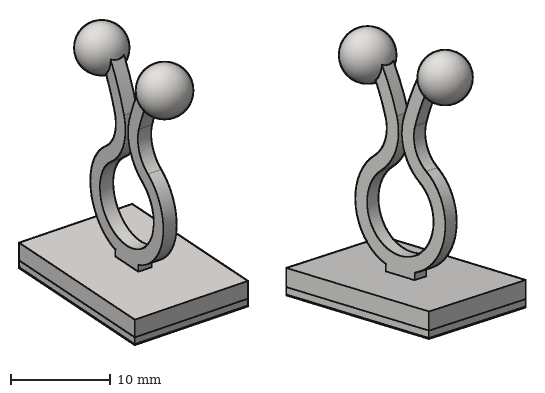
import cadquery as cq
import math

BASE_LENGTH = 20.0
BASE_WIDTH = 14.0
LINER_THICKNESS = 0.1
TAPE_THICKNESS = 0.78
PLATE_THICKNESS = 2.03
plate_bottom = LINER_THICKNESS + TAPE_THICKNESS
plate_top = plate_bottom + PLATE_THICKNESS

STRIP_THICKNESS = 1.67
STRIP_WIDTH = 1.67
LOOP_OUTER_RADIUS = 6.3
LOOP_CENTER_Z = 9.67
NECK_GAP = 0.47
NECK_Z = 18.13
FLARE_RADIUS = 25.02
FLARE_START_ANGLE = 17.0
FLARE_END_ANGLE = 31.0
FOOT_LENGTH = 4.0
half_thickness = STRIP_THICKNESS / 2
loop_radius = LOOP_OUTER_RADIUS - half_thickness
neck_x = (NECK_GAP + STRIP_THICKNESS) / 2
neck_rise = NECK_Z - LOOP_CENTER_Z

neck_radius = (neck_x**2 + neck_rise**2 - loop_radius**2) / (2 * (loop_radius - neck_x))

TOTAL_HEIGHT = 27.8
LEFT_BALL_RADIUS = 2.8
LEFT_BALL_X = -5.48
RIGHT_BALL_RADIUS = 2.92
RIGHT_BALL_X = 5.37

loop_center = (0, LOOP_CENTER_Z)
neck_center = (neck_x + neck_radius, NECK_Z)
flare_offset = FLARE_RADIUS - neck_radius
flare_center = (
    neck_center[0] + flare_offset * math.cos(math.radians(FLARE_START_ANGLE)),
    neck_center[1] - flare_offset * math.sin(math.radians(FLARE_START_ANGLE)),
)
join_angle = math.degrees(math.atan2(neck_rise, neck_center[0]))


def polar(center, radius, angle):
    """Point at an angle in degrees from +X around a center."""
    a = math.radians(angle)
    return (center[0] + radius * math.cos(a), center[1] + radius * math.sin(a))


def edge_points(offset):
    """Points of one strip edge from the left tip to the right tip.

    Consecutive arcs share an end point, and every second point lies mid-arc.
    A positive offset is the edge away from the loop center.
    """
    neck_start = 180 + join_angle
    flare_start = 180 - FLARE_START_ANGLE
    flare_end = 180 - FLARE_END_ANGLE
    loop_edge = loop_radius + offset
    neck_edge = neck_radius - offset
    flare_edge = FLARE_RADIUS - offset
    right_points = [
        polar(loop_center, loop_edge, join_angle),
        polar(neck_center, neck_edge, (neck_start + flare_start) / 2),
        polar(neck_center, neck_edge, flare_start),
        polar(flare_center, flare_edge, (flare_start + flare_end) / 2),
        polar(flare_center, flare_edge, flare_end),
    ]
    left_points = [(-x, z) for x, z in reversed(right_points)]
    loop_bottom = polar(loop_center, loop_edge, -90)
    return left_points + [loop_bottom] + right_points


def draw_arcs(outline, points):
    """Continue an outline from points[0] with arcs through each following pair."""
    for middle, end in zip(points[1::2], points[2::2]):
        outline = outline.threePointArc(middle, end)
    return outline


def make_strip():
    """Spring strip as one closed outline, extruded symmetrically about Y = 0."""
    outer_edge = edge_points(half_thickness)
    inner_edge = edge_points(-half_thickness)[::-1]
    outline = cq.Workplane("XZ").moveTo(*outer_edge[0])
    outline = draw_arcs(outline, outer_edge)
    outline = outline.lineTo(*inner_edge[0])
    outline = draw_arcs(outline, inner_edge)
    return outline.close().extrude(STRIP_WIDTH / 2, both=True)


def make_foot():
    """Short block joining the loop to the plate, ending inside the strip."""
    foot_height = LOOP_CENTER_Z - loop_radius - plate_top
    return make_layer(FOOT_LENGTH, STRIP_WIDTH, foot_height, plate_top)


def make_ball(x, radius):
    return cq.Workplane("XY").sphere(radius).translate((x, 0, TOTAL_HEIGHT - radius))


def make_layer(length, width, thickness, bottom):
    """Rectangular block centered on the Z axis."""
    return cq.Workplane("XY").workplane(offset=bottom).rect(length, width).extrude(thickness)


def make_clip():
    """Plate, foot, spring strip and balls as one molded body."""
    clip = make_layer(BASE_LENGTH, BASE_WIDTH, PLATE_THICKNESS, plate_bottom)
    clip = clip.union(make_foot())
    clip = clip.union(make_strip())
    clip = clip.union(make_ball(LEFT_BALL_X, LEFT_BALL_RADIUS))
    return clip.union(make_ball(RIGHT_BALL_X, RIGHT_BALL_RADIUS))


clip = make_clip()
tape = make_layer(BASE_LENGTH, BASE_WIDTH, TAPE_THICKNESS, LINER_THICKNESS)
liner = make_layer(BASE_LENGTH, BASE_WIDTH, LINER_THICKNESS, 0)

result = cq.Compound.makeCompound([clip.solids().val(), tape.val(), liner.val()])